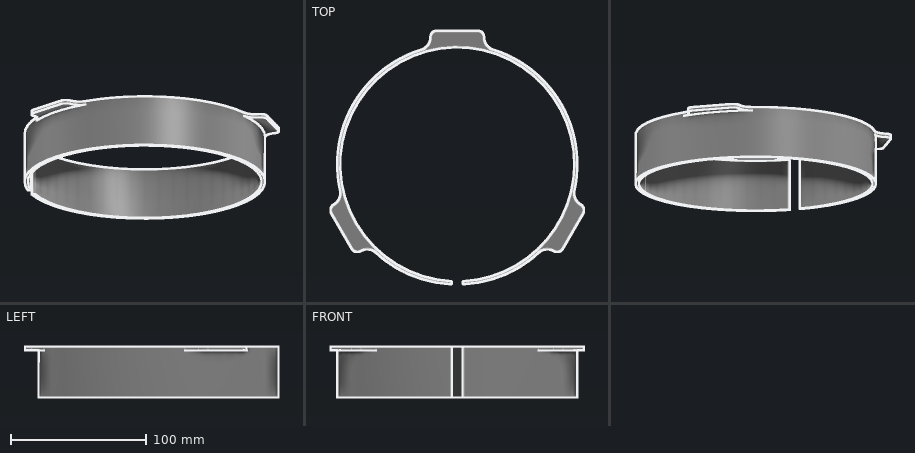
import cadquery as cq
import math

outer_radius = 89.0
wall = 2.5
inner_radius = outer_radius - wall
middle_radius = outer_radius - wall / 2
height = 38.0
gap_width = 8.0

tab_count = 3
tab_reach = outer_radius + 10.0
tab_half_width = 20.0
tab_thickness = 3.0
tab_corner_radius = 5.0
tab_root_radius = 9.5

edge_radius = 1.0


def ring_wall():
    """Full-height cylindrical wall, still closed."""
    return cq.Workplane("XY").circle(outer_radius).circle(inner_radius).extrude(height)


def tab():
    """Tab pointing to +Y, with rounded outer corners and root arcs tangent to the wall."""
    root_distance = outer_radius + tab_root_radius
    root_x = tab_half_width + tab_root_radius
    root_y = math.sqrt(root_distance**2 - root_x**2)

    touch_x = root_x * outer_radius / root_distance
    touch_y = root_y * outer_radius / root_distance

    wall_direction = math.atan2(-root_y, -root_x)
    side_direction = -math.pi
    middle_direction = (wall_direction + side_direction) / 2
    middle_x = root_x + tab_root_radius * math.cos(middle_direction)
    middle_y = root_y + tab_root_radius * math.sin(middle_direction)

    corner_x = tab_half_width - tab_corner_radius
    corner_y = tab_reach - tab_corner_radius

    buried_x = root_x * middle_radius / root_distance
    buried_y = root_y * middle_radius / root_distance

    return (
        cq.Workplane("XY", origin=(0, 0, height - tab_thickness))
        .moveTo(buried_x, buried_y)
        .lineTo(touch_x, touch_y)
        .threePointArc((middle_x, middle_y), (tab_half_width, root_y))
        .lineTo(tab_half_width, corner_y)
        .tangentArcPoint((corner_x, tab_reach), relative=False)
        .lineTo(-corner_x, tab_reach)
        .tangentArcPoint((-tab_half_width, corner_y), relative=False)
        .lineTo(-tab_half_width, root_y)
        .threePointArc((-middle_x, middle_y), (-touch_x, touch_y))
        .lineTo(-buried_x, buried_y)
        .threePointArc((0, middle_radius), (buried_x, buried_y))
        .close()
        .extrude(tab_thickness)
    )


def gap_cutter():
    """Block from the ring's axis out past the wall at the -Y side."""
    return (
        cq.Workplane("XY")
        .rect(gap_width, 2 * tab_reach)
        .extrude(height)
        .translate((0, -tab_reach, 0))
    )


def round_gap_ends(body):
    """Round the upright edges on both sides of the gap."""
    beside_gap = cq.selectors.BoxSelector((-gap_width, -tab_reach, 0), (gap_width, 0, height))
    return body.edges("|Z").edges(beside_gap).fillet(edge_radius)


def round_rim(body):
    """Round every edge around the top face."""
    return body.faces(">Z").edges().fillet(edge_radius)


ring = ring_wall()
for index in range(tab_count):
    ring = ring.union(tab().rotate((0, 0, 0), (0, 0, 1), index * 360 / tab_count))
ring = ring.cut(gap_cutter())
ring = round_gap_ends(ring)
result = round_rim(ring)